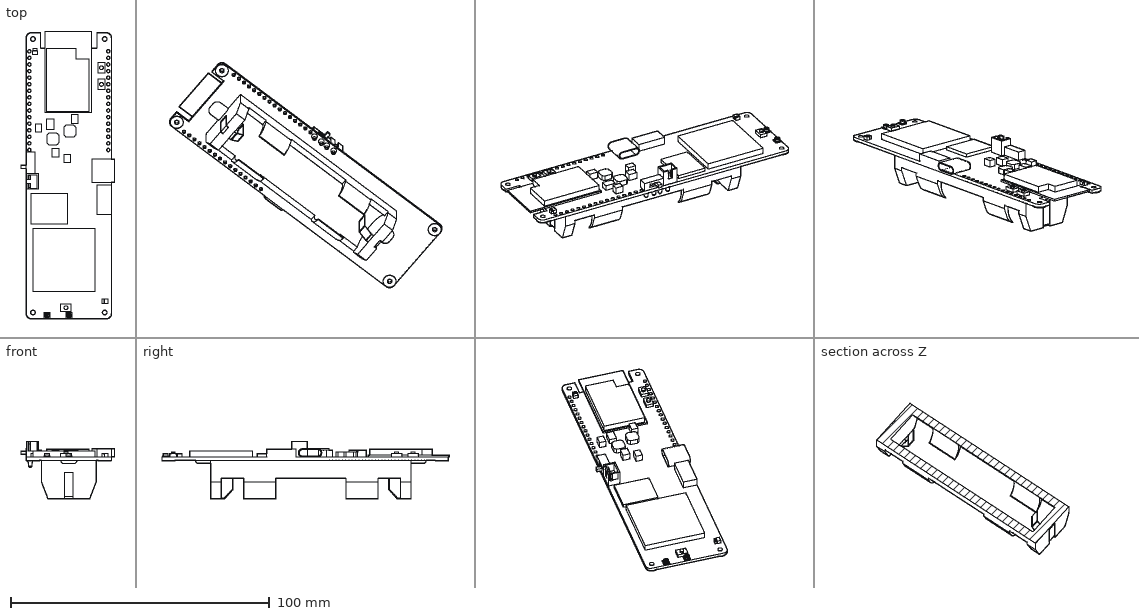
import cadquery as cq


BOARD_WIDTH = 33.0
BOARD_LENGTH = 110.6
BOARD_THICKNESS = 1.3
BOARD_CORNER_RADIUS = 2.0
ANTENNA_NOTCH_WIDTH = 21.7
ANTENNA_NOTCH_DEPTH = 6.0

MOUNT_HOLE_DIAMETER = 1.7
MOUNT_HOLE_SPACING_X = 27.7
MOUNT_HOLE_INSET_Y = 2.5
MOUNT_PAD_DIAMETER = 5.0
MOUNT_PAD_THICKNESS = 0.3

HEADER_PITCH = 2.54
HEADER_HOLES_PER_SIDE = 16
HEADER_HOLE_DIAMETER = 1.2
HEADER_ROW_X = 6 * HEADER_PITCH
HEADER_FIRST_Y = 65.25

MODULE_WIDTH = 18.0
MODULE_LENGTH = 31.4
MODULE_THICKNESS = 0.7
MODULE_LEFT_X = -9.2
MODULE_TOP_Y = 111.04
CAN_LEFT_X = -8.55
CAN_BOTTOM_Y = 80.2
CAN_WIDTH = 16.4
CAN_LENGTH = 24.2
CAN_TOP_Z = 3.0
CAN_NOTCH_WIDTH = 5.1
CAN_NOTCH_LENGTH = 4.0

HOLDER_CENTER_Y = 57.5
HOLDER_LENGTH = 77.5
HOLDER_WIDTH = 21.2
HOLDER_BOTTOM_WIDTH = 16.2
HOLDER_BOTTOM_Z = -16.2
HOLDER_TAPER_TOP_Z = -9.6
HOLDER_SIDE_BOTTOM_Z = -8.3
HOLDER_END_WALL = 4.2
BORE_RADIUS = 8.6
BORE_CENTER_Z = -10.2
ARM_INNER_OFFSET = 13.5
ARM_LENGTH = 12.5
ARM_CURVE_TOP_Z = -13.4
ARM_BOTTOM_WIDTH = 12.9

SPRING_WIDTH = 3.4
SPRING_THICKNESS = 0.3
SPRING_OFFSET = 30.0
SPRING_BEND_Z = -12.5
SPRING_FOOT_OFFSET = 33.3
CONTACT_RECESS_TOP_Z = -5.9
CONTACT_RECESS_DEPTH = 0.3
CONTACT_BEVEL_HEIGHT = 0.9

TAB_WIDTH = 6.2
TAB_REACH = 5.8
TAB_CORNER_RADIUS = 2.2
TAB_HEIGHT = 1.2
TAB_EDGE_RADIUS = 1.1

SWITCH_INSET = 0.05
SWITCH_WIDTH = 3.35
SWITCH_BOTTOM_Y = 56.1
SWITCH_TOP_Y = 64.5
SWITCH_HEIGHT = 3.35
SLIDER_REACH = 2.05
SLIDER_LENGTH = 1.35
SLIDER_SLOT_LENGTH = 4.0
SLIDER_BOTTOM_Y = 58.1
SLIDER_BOTTOM_Z = 1.0
SLIDER_HEIGHT = 1.3
SLIDER_SLOT_DEPTH = 1.0

SOCKET_INSET = 0.12
SOCKET_WIDTH = 4.65
SOCKET_LENGTH = 6.0
SOCKET_HEIGHT = 6.0
SOCKET_WALL = 0.6
SOCKET_FRONT_WALL = 0.35
SOCKET_FLOOR_Z = 2.35
SOCKET_SLOT_WIDTH = 0.7
SOCKET_SIDE_SLOT_LENGTH = 1.7
SOCKET_CONTACT_LENGTH = 1.4
SOCKET_CONTACT_TOP_Z = 5.0

PIN_X = -14.9
PIN_YS = (53.5, 56.9, 59.6, 63.0)
PIN_COLLAR_DIAMETER = 2.2
PIN_COLLAR_BOTTOM_Z = -2.5
PIN_DIAMETER = 1.5
PIN_SHOULDER_Z = -3.4
PIN_TIP_DIAMETER = 0.7
PIN_TIP_Z = -4.0

USB_LEFT_X = 8.9
USB_LENGTH = 8.78
USB_CENTER_Y = 57.2
USB_WIDTH = 9.0
USB_HEIGHT = 3.2
USB_CORNER_RADIUS = 1.5
USB_WALL = 0.35

COAX_CENTERS_X = (-8.4, 0.0)
COAX_CENTER_Y = 1.4
COAX_BASE_SIZE = 2.35
COAX_BASE_HEIGHT = 0.35
COAX_DIAMETER = 2.0
COAX_HEIGHT = 1.3
COAX_BORE_DIAMETER = 1.4
COAX_PIN_DIAMETER = 0.5

BUTTON_HEIGHT = 1.3
BUTTON_CAP_DIAMETER = 1.5
BUTTON_CAP_TOP_Z = 1.9
BUTTON_LENGTH = 4.05
BUTTON_WIDTH = 2.85
SIDE_BUTTON_X = 12.6
SIDE_BUTTON_YS = (97.0, 90.6)
END_BUTTON_CENTER = (-1.1, 4.35)

LED_HEIGHT = 1.3
LED_NECK_HEIGHT = 0.9
LED_BODY_LENGTH = 1.4
LED_NECK_LENGTH = 0.3
LED_CAP_LENGTH = 0.6
LED_BODY_WIDTH = 1.9
LED_CAP_WIDTH = 1.6
LED_PLACES = ((-13.05, 103.2, 0), (14.05, 6.85, 90))

INDUCTOR_SIZE = 4.7
INDUCTOR_HEIGHT = 2.0
INDUCTOR_CORNER_CUT = 0.9
INDUCTOR_CENTERS = ((0.4, 72.55), (-6.15, 69.5))

PLAIN_COMPONENTS = (
    (2.35, 77.25, 2.5, 3.4, 2.65),
    (-7.2, 75.25, 2.85, 4.1, 2.0),
    (-11.7, 73.7, 2.5, 3.15, 2.65),
    (-5.15, 64.15, 2.85, 3.4, 2.65),
    (-0.65, 61.95, 2.5, 3.15, 2.65),
    (13.7, 46.1, 5.6, 11.4, 3.0),
    (-7.5, 42.6, 14.1, 11.7, 1.3),
    (-1.85, 22.85, 24.1, 24.3, 2.35),
)


def box(x_min, x_max, y_min, y_max, z_min, z_max):
    """Box between two limits on each axis."""
    return cq.Workplane("XY").box(
        x_max - x_min, y_max - y_min, z_max - z_min, centered=False
    ).translate((x_min, y_min, z_min))


def block(x, y, width, length, height, base_z=0.0):
    """Block centred on (x, y), standing on base_z."""
    return box(
        x - width / 2, x + width / 2,
        y - length / 2, y + length / 2,
        base_z, base_z + height,
    )


def cylinder(x, y, diameter, z_min, z_max):
    """Upright cylinder between two heights."""
    return cq.Workplane("XY").workplane(offset=z_min).center(x, y).circle(diameter / 2).extrude(z_max - z_min)


def mirrored_ends(shape):
    """A holder shape together with its mirror image about the holder's middle."""
    return shape.union(shape.mirror("XZ", (0, HOLDER_CENTER_Y, 0)))


def mount_hole_centers():
    half = MOUNT_HOLE_SPACING_X / 2
    rows = (MOUNT_HOLE_INSET_Y, BOARD_LENGTH - MOUNT_HOLE_INSET_Y)
    return [(x, y) for x in (-half, half) for y in rows]


def header_hole_centers():
    return [
        (x, HEADER_FIRST_Y + i * HEADER_PITCH)
        for x in (-HEADER_ROW_X, HEADER_ROW_X)
        for i in range(HEADER_HOLES_PER_SIDE)
    ]


def make_board():
    board = block(0, BOARD_LENGTH / 2, BOARD_WIDTH, BOARD_LENGTH, BOARD_THICKNESS, -BOARD_THICKNESS)
    board = board.edges("|Z").fillet(BOARD_CORNER_RADIUS)
    board = board.cut(
        block(
            0, BOARD_LENGTH - ANTENNA_NOTCH_DEPTH / 2,
            ANTENNA_NOTCH_WIDTH, ANTENNA_NOTCH_DEPTH, BOARD_THICKNESS, -BOARD_THICKNESS,
        )
    )
    pad_bottom = -BOARD_THICKNESS - MOUNT_PAD_THICKNESS
    for x, y in mount_hole_centers():
        board = board.union(cylinder(x, y, MOUNT_PAD_DIAMETER, pad_bottom, -BOARD_THICKNESS))
    return board


def drill_board(assembly):
    """Cut the mounting and header holes through the board only, not through parts above it."""
    drill_bottom = -BOARD_THICKNESS - MOUNT_PAD_THICKNESS
    for x, y in mount_hole_centers():
        assembly = assembly.cut(cylinder(x, y, MOUNT_HOLE_DIAMETER, drill_bottom, 0))
    for x, y in header_hole_centers():
        assembly = assembly.cut(cylinder(x, y, HEADER_HOLE_DIAMETER, drill_bottom, 0))
    return assembly


def make_radio_module():
    module = box(
        MODULE_LEFT_X, MODULE_LEFT_X + MODULE_WIDTH,
        MODULE_TOP_Y - MODULE_LENGTH, MODULE_TOP_Y, 0, MODULE_THICKNESS,
    )
    can_right = CAN_LEFT_X + CAN_WIDTH
    can_top = CAN_BOTTOM_Y + CAN_LENGTH
    can = box(CAN_LEFT_X, can_right, CAN_BOTTOM_Y, can_top, MODULE_THICKNESS, CAN_TOP_Z)
    notch = box(
        can_right - CAN_NOTCH_WIDTH, can_right,
        can_top - CAN_NOTCH_LENGTH, can_top, MODULE_THICKNESS, CAN_TOP_Z,
    )
    return module.union(can.cut(notch))


def taper_half_width(z):
    """Half width of the holder's tapered lower outline at height z."""
    slope = (HOLDER_WIDTH - HOLDER_BOTTOM_WIDTH) / 2 / (HOLDER_TAPER_TOP_Z - HOLDER_BOTTOM_Z)
    return HOLDER_WIDTH / 2 - slope * (HOLDER_TAPER_TOP_Z - z)


def along_holder(start_offset, length):
    """XZ sketch plane whose extrusion covers [start, start + length] along +Y from the holder's middle."""
    return cq.Workplane("XZ", origin=(0, HOLDER_CENTER_Y + start_offset + length, 0))


def make_holder_arms():
    """Pair of arms whose lower ends curl inwards below the battery."""
    curve_top = taper_half_width(ARM_CURVE_TOP_Z)
    half_arm = (
        along_holder(ARM_INNER_OFFSET, ARM_LENGTH)
        .moveTo(0, HOLDER_SIDE_BOTTOM_Z)
        .lineTo(HOLDER_WIDTH / 2, HOLDER_SIDE_BOTTOM_Z)
        .lineTo(HOLDER_WIDTH / 2, HOLDER_TAPER_TOP_Z)
        .lineTo(curve_top, ARM_CURVE_TOP_Z)
        .tangentArcPoint((ARM_BOTTOM_WIDTH / 2, HOLDER_BOTTOM_Z), relative=False)
        .lineTo(0, HOLDER_BOTTOM_Z)
        .close()
        .extrude(ARM_LENGTH)
    )
    return half_arm.union(half_arm.mirror("YZ"))


def make_holder_end_wall():
    half_width = HOLDER_WIDTH / 2
    half_bottom = HOLDER_BOTTOM_WIDTH / 2
    start = HOLDER_LENGTH / 2 - HOLDER_END_WALL
    wall = (
        along_holder(start, HOLDER_END_WALL)
        .polyline([
            (-half_width, -BOARD_THICKNESS),
            (-half_width, HOLDER_TAPER_TOP_Z),
            (-half_bottom, HOLDER_BOTTOM_Z),
            (half_bottom, HOLDER_BOTTOM_Z),
            (half_width, HOLDER_TAPER_TOP_Z),
            (half_width, -BOARD_THICKNESS),
        ])
        .close()
        .extrude(HOLDER_END_WALL)
    )
    end_y = HOLDER_CENTER_Y + HOLDER_LENGTH / 2
    recess_y = end_y - CONTACT_RECESS_DEPTH
    contact_recess = (
        cq.Workplane("YZ")
        .polyline([
            (end_y, CONTACT_RECESS_TOP_Z),
            (recess_y, CONTACT_RECESS_TOP_Z),
            (recess_y, HOLDER_BOTTOM_Z + CONTACT_BEVEL_HEIGHT),
            (recess_y - CONTACT_BEVEL_HEIGHT, HOLDER_BOTTOM_Z),
            (end_y, HOLDER_BOTTOM_Z),
        ])
        .close()
        .extrude(SPRING_WIDTH / 2, both=True)
    )
    return wall.cut(contact_recess)


def make_contact_spring():
    """Bent strip from the end wall's bottom edge up to the roof of the holder."""
    wall_y = HOLDER_CENTER_Y + HOLDER_LENGTH / 2 - HOLDER_END_WALL
    foot_y = HOLDER_CENTER_Y + SPRING_FOOT_OFFSET
    strip_y = HOLDER_CENTER_Y + SPRING_OFFSET
    foot_z = HOLDER_BOTTOM_Z + SPRING_THICKNESS
    return (
        cq.Workplane("YZ")
        .polyline([
            (wall_y, HOLDER_BOTTOM_Z),
            (foot_y, HOLDER_BOTTOM_Z),
            (strip_y, SPRING_BEND_Z),
            (strip_y, -BOARD_THICKNESS),
            (strip_y + SPRING_THICKNESS, -BOARD_THICKNESS),
            (strip_y + SPRING_THICKNESS, SPRING_BEND_Z),
            (foot_y + SPRING_THICKNESS, foot_z),
            (wall_y, foot_z),
        ])
        .close()
        .extrude(SPRING_WIDTH / 2, both=True)
    )


def make_contact_tab():
    end_y = HOLDER_CENTER_Y + HOLDER_LENGTH / 2
    tab = block(0, end_y, TAB_WIDTH, 2 * TAB_REACH, TAB_HEIGHT, -BOARD_THICKNESS - TAB_HEIGHT)
    tab = tab.edges("|Z").fillet(TAB_CORNER_RADIUS)
    tab = tab.faces("<Z").edges().fillet(TAB_EDGE_RADIUS)
    return tab.intersect(
        box(-TAB_WIDTH, TAB_WIDTH, end_y, end_y + TAB_REACH, -BOARD_THICKNESS - TAB_HEIGHT, 0)
    )


def make_battery_holder():
    inside_length = HOLDER_LENGTH - 2 * HOLDER_END_WALL
    side_height = -BOARD_THICKNESS - HOLDER_SIDE_BOTTOM_Z
    holder = block(0, HOLDER_CENTER_Y, HOLDER_WIDTH, inside_length, side_height, HOLDER_SIDE_BOTTOM_Z)
    holder = holder.union(mirrored_ends(make_holder_arms()))
    bore = (
        along_holder(-inside_length / 2, inside_length)
        .center(0, BORE_CENTER_Z)
        .circle(BORE_RADIUS)
        .extrude(inside_length)
    )
    holder = holder.cut(bore)
    end = make_holder_end_wall().union(make_contact_spring()).union(make_contact_tab())
    return holder.union(mirrored_ends(end))


def make_slide_switch():
    edge_x = -BOARD_WIDTH / 2 + SWITCH_INSET
    slider_top_z = SLIDER_BOTTOM_Z + SLIDER_HEIGHT
    body = box(edge_x, edge_x + SWITCH_WIDTH, SWITCH_BOTTOM_Y, SWITCH_TOP_Y, 0, SWITCH_HEIGHT)
    slot = box(
        edge_x, edge_x + SLIDER_SLOT_DEPTH,
        SLIDER_BOTTOM_Y, SLIDER_BOTTOM_Y + SLIDER_SLOT_LENGTH, SLIDER_BOTTOM_Z, slider_top_z,
    )
    slider = box(
        edge_x - SLIDER_REACH, edge_x + SLIDER_SLOT_DEPTH,
        SLIDER_BOTTOM_Y, SLIDER_BOTTOM_Y + SLIDER_LENGTH, SLIDER_BOTTOM_Z, slider_top_z,
    )
    return body.cut(slot).union(slider)


def make_battery_socket():
    left = -BOARD_WIDTH / 2 + SOCKET_INSET
    right = left + SOCKET_WIDTH
    top = SWITCH_BOTTOM_Y
    bottom = top - SOCKET_LENGTH
    inner_left = left + SOCKET_WALL
    inner_bottom = bottom + SOCKET_FRONT_WALL
    inner_top = top - SOCKET_WALL
    slot_left = inner_left + SOCKET_FRONT_WALL
    slot_right = slot_left + SOCKET_SLOT_WIDTH
    middle_y = (top + bottom) / 2
    half_slot = SOCKET_SIDE_SLOT_LENGTH / 2
    socket = box(left, right, bottom, top, 0, SOCKET_HEIGHT)
    socket = socket.cut(
        box(inner_left, right - SOCKET_WALL, inner_bottom, inner_top, SOCKET_FLOOR_Z, SOCKET_HEIGHT)
    )
    socket = socket.cut(box(slot_left, slot_right, bottom, inner_bottom, SOCKET_FLOOR_Z, SOCKET_HEIGHT))
    socket = socket.cut(
        box(left, inner_left, middle_y - half_slot, middle_y + half_slot, SOCKET_FLOOR_Z, SOCKET_HEIGHT)
    )
    for side in (-1, 1):
        contact_y = middle_y + side * (half_slot + SOCKET_CONTACT_LENGTH / 2)
        contact_x = (slot_left + slot_right) / 2
        socket = socket.union(
            block(contact_x, contact_y, SOCKET_SLOT_WIDTH, SOCKET_CONTACT_LENGTH, SOCKET_CONTACT_TOP_Z)
        )
    return socket


def make_solder_pin(y):
    profile = [
        (0, -BOARD_THICKNESS),
        (PIN_COLLAR_DIAMETER / 2, -BOARD_THICKNESS),
        (PIN_DIAMETER / 2, PIN_COLLAR_BOTTOM_Z),
        (PIN_DIAMETER / 2, PIN_SHOULDER_Z),
        (PIN_TIP_DIAMETER / 2, PIN_TIP_Z),
        (0, PIN_TIP_Z),
    ]
    pin = cq.Workplane("XZ").polyline(profile).close().revolve(360, (0, 0, 0), (0, 1, 0))
    return pin.translate((PIN_X, y, 0))


def usb_profile(inset):
    """Full-length solid of the USB outline, moved inwards by the inset on every side."""
    profile = block(
        USB_LEFT_X + USB_LENGTH / 2, USB_CENTER_Y,
        USB_LENGTH, USB_WIDTH - 2 * inset, USB_HEIGHT - 2 * inset, inset,
    )
    return profile.edges("|X").fillet(USB_CORNER_RADIUS - inset)


def make_usb_socket():
    return usb_profile(0).cut(usb_profile(USB_WALL))


def make_coax_connector(x):
    connector = block(x, COAX_CENTER_Y, COAX_BASE_SIZE, COAX_BASE_SIZE, COAX_BASE_HEIGHT)
    barrel = cylinder(x, COAX_CENTER_Y, COAX_DIAMETER, 0, COAX_HEIGHT)
    bore = cylinder(x, COAX_CENTER_Y, COAX_BORE_DIAMETER, COAX_BASE_HEIGHT, COAX_HEIGHT)
    pin = cylinder(x, COAX_CENTER_Y, COAX_PIN_DIAMETER, 0, COAX_HEIGHT)
    return connector.union(barrel).cut(bore).union(pin)


def make_button(x, y, width, length):
    cap = cylinder(x, y, BUTTON_CAP_DIAMETER, 0, BUTTON_CAP_TOP_Z)
    return block(x, y, width, length, BUTTON_HEIGHT).union(cap)


def make_led(x, y, turn):
    """Diode centred on (x, y); its end cap points to +Y before it is turned about Z."""
    length = LED_BODY_LENGTH + LED_NECK_LENGTH + LED_CAP_LENGTH
    body_y = (LED_BODY_LENGTH - length) / 2
    cap_y = (length - LED_CAP_LENGTH) / 2
    led = block(0, body_y, LED_BODY_WIDTH, LED_BODY_LENGTH, LED_HEIGHT)
    led = led.union(block(0, 0, LED_CAP_WIDTH, length, LED_NECK_HEIGHT))
    led = led.union(block(0, cap_y, LED_CAP_WIDTH, LED_CAP_LENGTH, LED_HEIGHT))
    return led.rotate((0, 0, 0), (0, 0, 1), turn).translate((x, y, 0))


def make_inductor(x, y):
    inductor = block(x, y, INDUCTOR_SIZE, INDUCTOR_SIZE, INDUCTOR_HEIGHT)
    return inductor.edges("|Z").chamfer(INDUCTOR_CORNER_CUT)


parts = [make_radio_module(), make_battery_holder(), make_slide_switch()]
parts += [make_battery_socket(), make_usb_socket()]
parts += [make_solder_pin(y) for y in PIN_YS]
parts += [make_coax_connector(x) for x in COAX_CENTERS_X]
parts += [make_button(SIDE_BUTTON_X, y, BUTTON_WIDTH, BUTTON_LENGTH) for y in SIDE_BUTTON_YS]
parts += [make_button(*END_BUTTON_CENTER, BUTTON_LENGTH, BUTTON_WIDTH)]
parts += [make_led(*place) for place in LED_PLACES]
parts += [make_inductor(*center) for center in INDUCTOR_CENTERS]
parts += [block(*component) for component in PLAIN_COMPONENTS]

result = drill_board(make_board())
for part in parts:
    result = result.union(part)